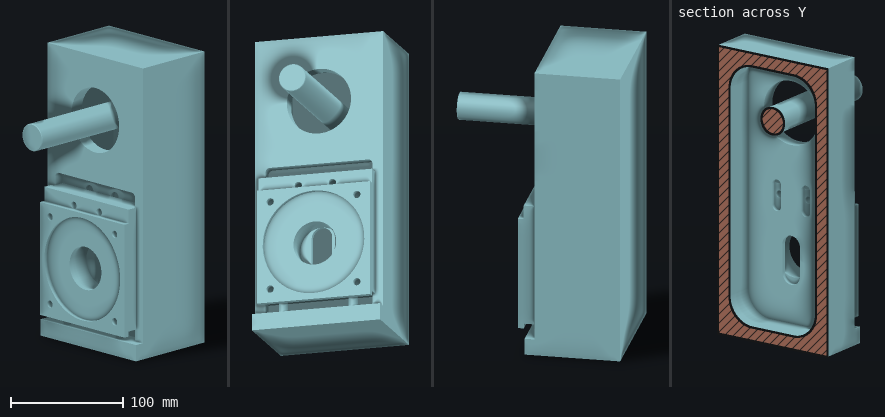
import cadquery as cq


WIDTH = 120.0
HEIGHT = 270.0
DEPTH = 78.0
WALL = 13.0
BACK_WALL = 7.3
CAVITY_CORNER_R = 24.3
FOOT_HEIGHT = 15.0
FOOT_PROJECTION = 9.0

SHAFT_D = 25.0
SHAFT_PROJECTION = 80.2
SHAFT_CHAMFER = 0.5
SHAFT_HOLE_D = 60.0
SHAFT_Z = 210.0

GUIDE_WIDTH = 100.0
GUIDE_DEPTH = 9.0
GUIDE_TOP = 152.0
GUIDE_CORNER_R = 4.0

PLATE_WIDTH = 105.8
PLATE_GAP = 2.0
LEDGE_FRONT = 11.0
PLATE_FRONT = 16.5
PLATE_TOP = 139.9
PLATE_BOTTOM = 26.7
FACE_TOP = 127.0
FACE_BOTTOM = 22.1
BORE_D = 40.0
BORE_Z = 75.0
REGISTER_D = 95.0
REGISTER_DEPTH = 4.0

CORNER_HOLE_D = 6.8
CORNER_HOLE_PITCH = 81.0
CORNER_HOLE_DEPTH = 10.0

CLAMP_HOLE_D = 6.8
CLAMP_X = 16.0
CLAMP_Z = 130.1
CLAMP_SLOT_WIDTH = 9.5
CLAMP_TRAVEL = 10.0

DRIVE_SLOT_WIDTH = 19.2
DRIVE_SLOT_TOP = BORE_Z + BORE_D / 2
DRIVE_SLOT_BOTTOM = 49.1

ROD_D = 8.0
ROD_X = 32.7
ROD_OUT = 2.0


def block(width, y_min, y_max, z_min, z_max):
    """Box centred on X = 0."""
    return cq.Workplane("XY").box(
        width, y_max - y_min, z_max - z_min, centered=(True, False, False)
    ).translate((0, y_min, z_min))


def cylinder_y(diameter, y_min, y_max, x, z):
    """Cylinder along Y."""
    return cq.Workplane("XY").add(cq.Solid.makeCylinder(
        diameter / 2, y_max - y_min, cq.Vector(x, y_min, z), cq.Vector(0, 1, 0)
    ))


def slot_cutter(width, x, z_min, z_max):
    """Upright round-ended slot through the front wall."""
    return (
        cq.Workplane("XZ", origin=(x, 0, (z_min + z_max) / 2))
        .slot2D(z_max - z_min, width, 90)
        .extrude(-WALL)
    )


def corner_hole_cutter(x, z):
    """Blind hole in the plate face, ending in a 90 degree cone."""
    radius = CORNER_HOLE_D / 2
    profile = (
        cq.Workplane("XY")
        .polyline([
            (0, 0),
            (radius, 0),
            (radius, CORNER_HOLE_DEPTH - radius),
            (0, CORNER_HOLE_DEPTH),
        ])
        .close()
    )
    return profile.revolve(360, (0, 0), (0, 1)).translate((x, -PLATE_FRONT, z))


def make_housing():
    """Hollow housing with foot, guide recess, slots and the fixed shaft."""
    cavity_back = DEPTH - BACK_WALL
    body = block(WIDTH, 0, DEPTH, 0, HEIGHT)
    body = body.union(block(WIDTH, -FOOT_PROJECTION, 0, 0, FOOT_HEIGHT))
    cavity = block(WIDTH - 2 * WALL, WALL, cavity_back, WALL, HEIGHT - WALL)
    body = body.cut(cavity.edges("|Y").fillet(CAVITY_CORNER_R))

    recess = block(GUIDE_WIDTH, 0, GUIDE_DEPTH, FOOT_HEIGHT, GUIDE_TOP)
    body = body.cut(recess.edges("|Y and >Z").fillet(GUIDE_CORNER_R))

    clamp_reach = CLAMP_TRAVEL + CLAMP_SLOT_WIDTH / 2
    for x in (-CLAMP_X, CLAMP_X):
        body = body.cut(slot_cutter(CLAMP_SLOT_WIDTH, x, CLAMP_Z - clamp_reach, CLAMP_Z + clamp_reach))
    body = body.cut(slot_cutter(DRIVE_SLOT_WIDTH, 0, DRIVE_SLOT_BOTTOM, DRIVE_SLOT_TOP))

    body = body.cut(cylinder_y(SHAFT_HOLE_D, 0, WALL, 0, SHAFT_Z))
    shaft = cylinder_y(SHAFT_D, -SHAFT_PROJECTION, cavity_back, 0, SHAFT_Z)
    return body.union(shaft.faces("<Y").chamfer(SHAFT_CHAMFER))


def make_plate():
    """Sliding plate with its guide tongue, bore, holes and adjusting rods."""
    plate = block(PLATE_WIDTH, -LEDGE_FRONT, -PLATE_GAP, PLATE_BOTTOM, PLATE_TOP)
    plate = plate.union(block(PLATE_WIDTH, -PLATE_FRONT, -LEDGE_FRONT, FACE_BOTTOM, FACE_TOP))
    plate = plate.union(block(GUIDE_WIDTH, -PLATE_GAP, GUIDE_DEPTH, PLATE_BOTTOM, PLATE_TOP))

    plate = plate.cut(cylinder_y(REGISTER_D, -PLATE_FRONT, REGISTER_DEPTH - PLATE_FRONT, 0, BORE_Z))
    plate = plate.cut(cylinder_y(BORE_D, -PLATE_FRONT, GUIDE_DEPTH, 0, BORE_Z))

    half_pitch = CORNER_HOLE_PITCH / 2
    for x in (-half_pitch, half_pitch):
        for z in (BORE_Z - half_pitch, BORE_Z + half_pitch):
            plate = plate.cut(corner_hole_cutter(x, z))

    for x in (-CLAMP_X, CLAMP_X):
        plate = plate.cut(cylinder_y(CLAMP_HOLE_D, -LEDGE_FRONT, GUIDE_DEPTH, x, CLAMP_Z))

    rod_length = PLATE_BOTTOM - FOOT_HEIGHT
    for x in (-ROD_X, ROD_X):
        rod = cq.Workplane("XY", origin=(x, -ROD_OUT, FOOT_HEIGHT)).circle(ROD_D / 2).extrude(rod_length)
        plate = plate.union(rod)
    return plate


housing = make_housing()
plate = make_plate()
result = cq.Compound.makeCompound([housing.val(), plate.val()])